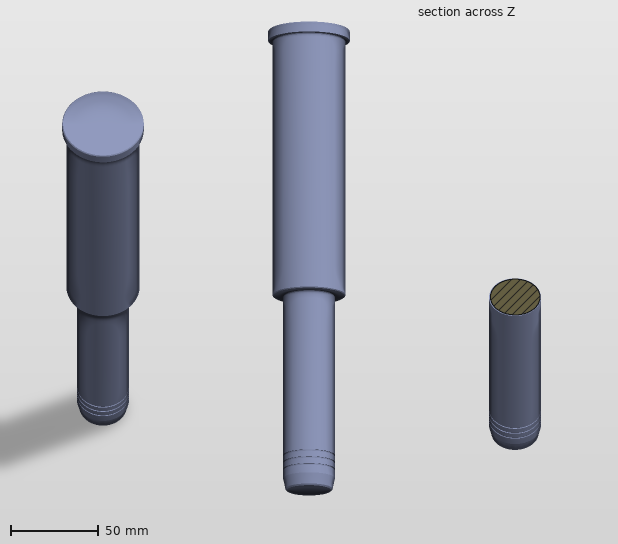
import cadquery as cq

total_length = 271.0
head_length = 6.0
shaft_top = 114.5
head_bottom = total_length - head_length

head_radius = 23.45
body_radius = 21.0
shaft_radius = 15.0
tip_radius = 13.5

head_chamfer = 0.5
body_chamfer = 0.5
tip_taper_length = 7.0
tip_chamfer = 0.8

relief_width = 0.8
relief_depth = 0.5

groove_count = 3
first_groove_bottom = 11.7
groove_pitch = 4.0
groove_width = 0.8
groove_depth = 0.5


def cylinder(radius, bottom, top):
    return cq.Workplane("XY").workplane(offset=bottom).circle(radius).extrude(top - bottom)


def ring(outer_radius, depth, bottom, width):
    blank = cylinder(outer_radius + depth, bottom, bottom + width)
    return blank.cut(cylinder(outer_radius - depth, bottom, bottom + width))


head = cylinder(head_radius, head_bottom, total_length).faces(">Z").chamfer(head_chamfer)
body = cylinder(body_radius, shaft_top, head_bottom).faces("<Z").chamfer(body_chamfer)
shaft = cylinder(shaft_radius, tip_taper_length, shaft_top)

tip = (
    cq.Workplane("XZ")
    .moveTo(0, 0)
    .lineTo(tip_radius - tip_chamfer, 0)
    .lineTo(tip_radius, tip_chamfer)
    .lineTo(shaft_radius, tip_taper_length)
    .lineTo(0, tip_taper_length)
    .close()
    .revolve(360, (0, 0, 0), (0, 1, 0))
)
result = head.union(body).union(shaft).union(tip)

result = result.cut(ring(body_radius, relief_depth, head_bottom - relief_width, relief_width))
result = result.cut(ring(shaft_radius, relief_depth, shaft_top - relief_width, relief_width))
for index in range(groove_count):
    groove_bottom = first_groove_bottom + index * groove_pitch
    result = result.cut(ring(shaft_radius, groove_depth, groove_bottom, groove_width))